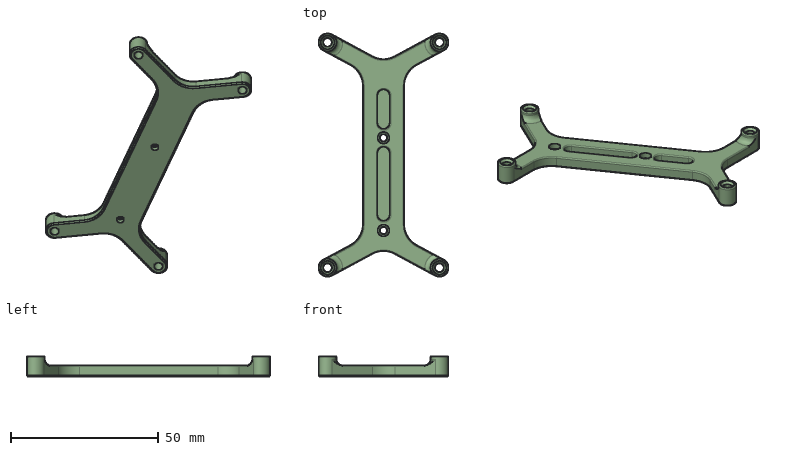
import cadquery as cq
import math

overall_height = 7.0
plate_thickness = 4.0
bottom_chamfer = 0.5
plate_top_fillet = 0.4

boss_x = 19.0
boss_y = 38.25
boss_radius = 3.05
boss_top_fillet = 0.4
boss_hole_diameter = 2.9
boss_countersink_diameter = 4.6
boss_countersink_angle = 90
boss_root_radius = 2.0

arm_angle = math.radians(28.3)
spine_half_width = 7.0
outline_fillet = 8.0

spine_holes_y = (5.9, -25.6)
spine_hole_diameter = 2.4
counterbore_diameter = 4.0
counterbore_depth = 2.0

pocket_ends = ((8.9, 22.3), (-22.3, 2.8))
pocket_width = 4.1
pocket_depth = 3.0
pocket_rim_fillet = 0.4

boss_centers = [(sx * boss_x, sy * boss_y) for sx in (-1, 1) for sy in (-1, 1)]


def outline():
    """X-shaped plate: a spine with four arms cut off square through the boss centers."""
    slope = math.tan(arm_angle)
    edge_offset = boss_radius / math.cos(arm_angle)
    arm_axis_y = boss_y - boss_x * slope
    notch_y = arm_axis_y + edge_offset
    armpit_y = arm_axis_y - edge_offset + spine_half_width * slope
    tangent_x = boss_radius * math.sin(arm_angle)
    tangent_y = boss_radius * math.cos(arm_angle)
    outer_x = boss_x + tangent_x
    inner_x = boss_x - tangent_x
    high_y = boss_y + tangent_y
    low_y = boss_y - tangent_y
    sharp = (
        cq.Workplane("XY")
        .moveTo(0, notch_y)
        .lineTo(inner_x, high_y)
        .lineTo(outer_x, low_y)
        .lineTo(spine_half_width, armpit_y)
        .lineTo(spine_half_width, -armpit_y)
        .lineTo(outer_x, -low_y)
        .lineTo(inner_x, -high_y)
        .lineTo(0, -notch_y)
        .lineTo(-inner_x, -high_y)
        .lineTo(-outer_x, -low_y)
        .lineTo(-spine_half_width, -armpit_y)
        .lineTo(-spine_half_width, armpit_y)
        .lineTo(-outer_x, low_y)
        .lineTo(-inner_x, high_y)
        .close()
        .extrude(plate_thickness)
    )
    inner_corners = cq.selectors.BoxSelector(
        (-boss_x / 2, -boss_y, -0.8), (boss_x / 2, boss_y, plate_thickness + 0.8)
    )
    return sharp.edges("|Z").edges(inner_corners).fillet(outline_fillet)


def boss(center):
    """Round post with a concave blend, as wide as the arm, down to the top of its arm."""
    foot_radius = boss_radius + boss_root_radius
    base = plate_thickness - plate_top_fillet
    blend_top = plate_thickness + boss_root_radius
    blend_sag = boss_root_radius * (1 - math.sqrt(0.5))
    flared_foot = (
        cq.Workplane("XZ")
        .moveTo(0, base)
        .lineTo(foot_radius, base)
        .lineTo(foot_radius, plate_thickness)
        .threePointArc(
            (boss_radius + blend_sag, plate_thickness + blend_sag), (boss_radius, blend_top)
        )
        .lineTo(0, blend_top)
        .close()
        .revolve(360, (0, 0), (0, 1))
    )
    arm_strip = cq.Workplane("XY").box(
        2 * foot_radius, 2 * boss_radius, overall_height, centered=(False, True, False)
    )
    post = cq.Workplane("XY").circle(boss_radius).extrude(overall_height)
    x, y = center
    inward_x = math.copysign(math.cos(arm_angle), -x)
    inward_y = math.copysign(math.sin(arm_angle), -y)
    inward_angle = math.degrees(math.atan2(inward_y, inward_x))
    return (
        post.union(flared_foot.intersect(arm_strip))
        .rotate((0, 0, 0), (0, 0, 1), inward_angle)
        .translate((x, y, 0))
    )


def pocket(low_y, high_y):
    """Blind round-ended slot in the top of the spine."""
    return (
        cq.Workplane("XY", origin=(0, (low_y + high_y) / 2, plate_thickness))
        .slot2D(high_y - low_y, pocket_width, 90)
        .extrude(-pocket_depth)
    )


plate = outline().faces(">Z").fillet(plate_top_fillet)
result = plate
for center in boss_centers:
    result = result.union(boss(center))
result = result.faces("<Z").chamfer(bottom_chamfer)
result = result.faces(">Z").fillet(boss_top_fillet)

result = (
    result.copyWorkplane(cq.Workplane("XY", origin=(0, 0, overall_height)))
    .pushPoints(boss_centers)
    .cskHole(boss_hole_diameter, boss_countersink_diameter, boss_countersink_angle)
)

result = (
    result.copyWorkplane(cq.Workplane("XY", origin=(0, 0, plate_thickness)))
    .pushPoints([(0, y) for y in spine_holes_y])
    .cboreHole(spine_hole_diameter, counterbore_diameter, counterbore_depth)
)

for low_y, high_y in pocket_ends:
    result = result.cut(pocket(low_y, high_y))
    rim = cq.selectors.BoxSelector(
        (-pocket_width, low_y - pocket_rim_fillet, plate_thickness - pocket_rim_fillet),
        (pocket_width, high_y + pocket_rim_fillet, plate_thickness + pocket_rim_fillet),
    )
    result = result.edges(rim).fillet(pocket_rim_fillet)